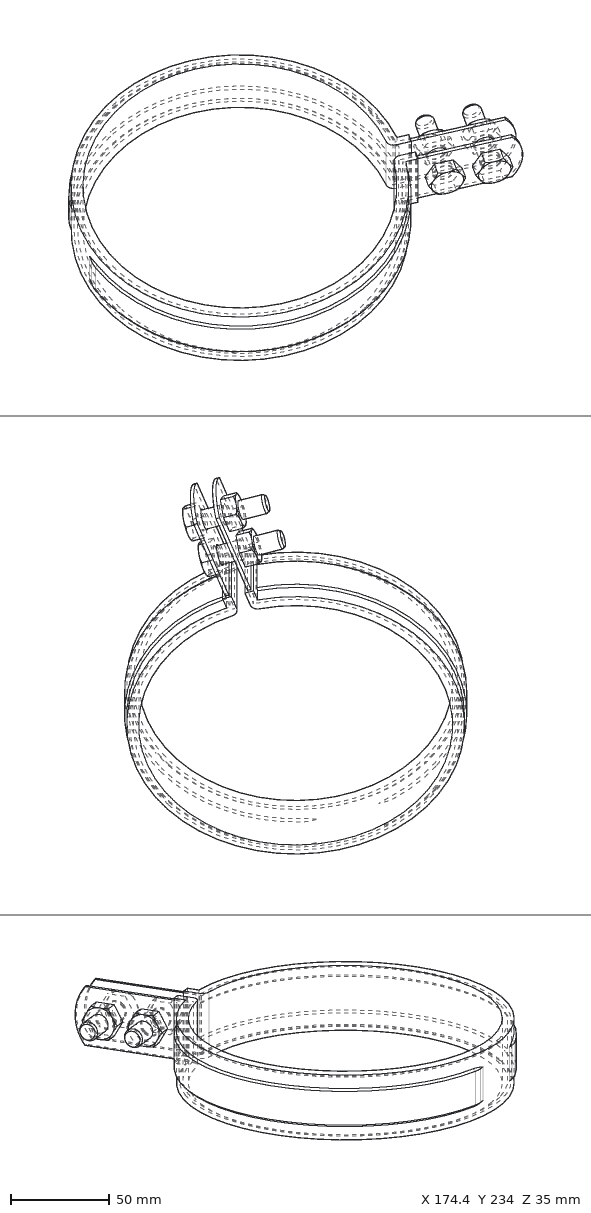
import cadquery as cq
import math


overall_length = 234.0

liner_outer_diameter = 172.0
liner_outer_radius = liner_outer_diameter / 2
liner_thickness = 6.0
liner_inner_radius = liner_outer_radius - liner_thickness
liner_height = 35.0
liner_gap = 7.3
liner_lug_thickness = 4.7
liner_lug_end = 92.0
liner_corner_radius = 4.0

bead_rise = 1.2
bead_chamfer = 1.5
bead_outer_radius = liner_outer_radius + bead_rise
bead_height = 21.0
bead_end_x = 16.5
bead_flat_offset = math.sqrt(liner_outer_radius**2 - bead_end_x**2)
bead_flat_blend_radius = 17.5

strap_thickness = 1.9
strap_height = 31.8
strap_cover = (liner_lug_thickness - strap_thickness) / 2
strap_outer_radius = liner_outer_radius - strap_cover
strap_inner_radius = strap_outer_radius - strap_thickness
strap_gap = liner_gap + 2 * strap_cover
strap_end = overall_length - liner_outer_radius
strap_tip_radius = 25.5
strap_outer_face = strap_gap / 2 + strap_thickness

bead_root_radius = liner_outer_radius - strap_cover / 2

bolt_pitch = 25.0
first_bolt_y = 106.0
bolt_positions = [first_bolt_y, first_bolt_y + bolt_pitch]
bolt_diameter = 10.0
bolt_tip_diameter = 8.5
bolt_tip_length = 1.5
bolt_hole_diameter = 11.0
bolt_tip_x = -28.8
hex_across_flats = 17.0
hex_across_corners = hex_across_flats / math.cos(math.pi / 6)
hex_chamfer_angle = math.radians(30)
nut_thickness = 7.7
head_thickness = 7.0


def disc(radius, height):
    return cq.Workplane("XY", origin=(0, 0, -height / 2)).circle(radius).extrude(height)


def block_from_axis(width, length, height):
    """Block centred on X and Z that runs from the pipe axis towards +Y."""
    return cq.Workplane("XY").box(width, length, height).translate((0, length / 2, 0))


def open_loop(inner_radius, outer_radius, gap, lug_thickness, lug_end, height):
    """Ring opened at +Y, with a straight lug on each side of the gap."""
    lug_outer_width = gap + 2 * lug_thickness
    lugs = block_from_axis(lug_outer_width, lug_end, height)
    gap_slot = block_from_axis(gap, lug_end, height)
    return disc(outer_radius, height).union(lugs).cut(disc(inner_radius, height)).cut(gap_slot)


def make_bead():
    """Chamfered band that fades into the liner at a flat on the -Y side."""
    flat_block = (
        cq.Workplane("XY")
        .box(2 * bead_outer_radius, bead_outer_radius, bead_height)
        .translate((0, -bead_flat_offset - bead_outer_radius / 2, 0))
    )
    opening_width = liner_gap + 2 * liner_lug_thickness
    opening = block_from_axis(opening_width, liner_lug_end, bead_height)
    return (
        disc(bead_outer_radius, bead_height)
        .cut(flat_block)
        .edges("|Z and <Y")
        .fillet(bead_flat_blend_radius)
        .faces("<Z or >Z")
        .chamfer(bead_chamfer)
        .cut(disc(bead_root_radius, bead_height))
        .cut(opening)
    )


def make_strap():
    loop = open_loop(
        strap_inner_radius, strap_outer_radius, strap_gap, strap_thickness, strap_end, strap_height
    )
    tip_center = strap_end - strap_tip_radius
    tip_limit = (
        cq.Workplane("YZ", origin=(-strap_outer_face, tip_center, 0))
        .circle(strap_tip_radius)
        .extrude(2 * strap_outer_face)
    )
    tip_zone = (
        cq.Workplane("XY")
        .box(2 * strap_outer_face, strap_tip_radius, strap_height)
        .translate((0, tip_center + strap_tip_radius / 2, 0))
    )
    bolt_holes = (
        cq.Workplane("YZ", origin=(-strap_outer_face, 0, 0))
        .pushPoints([(y, 0) for y in bolt_positions])
        .circle(bolt_hole_diameter / 2)
        .extrude(2 * strap_outer_face)
    )
    return loop.cut(tip_zone.cut(tip_limit)).cut(bolt_holes)


def make_liner(strap):
    loop = open_loop(
        liner_inner_radius, liner_outer_radius, liner_gap, liner_lug_thickness, liner_lug_end, liner_height
    )
    corner_x = liner_gap / 2
    corner_y = math.sqrt(liner_inner_radius**2 - corner_x**2)
    for side in (-1, 1):
        corner_edge = cq.selectors.NearestToPointSelector((side * corner_x, corner_y, 0))
        loop = loop.edges(corner_edge).fillet(liner_corner_radius)
    return loop.union(make_bead()).cut(strap)


def make_hexagon(inner_x, outer_x):
    """Hexagon along X whose corners are chamfered on the face at outer_x."""
    thickness = abs(outer_x - inner_x)
    corner_radius = hex_across_corners / 2
    flat_radius = hex_across_flats / 2
    chamfer_length = (corner_radius - flat_radius) * math.tan(hex_chamfer_angle)
    prism = cq.Workplane("YZ").polygon(6, hex_across_corners).extrude(thickness)
    chamfer_envelope = (
        cq.Workplane("XY")
        .moveTo(0, 0)
        .lineTo(0, corner_radius)
        .lineTo(thickness - chamfer_length, corner_radius)
        .lineTo(thickness, flat_radius)
        .lineTo(thickness, 0)
        .close()
        .revolve(360, (0, 0, 0), (1, 0, 0))
    )
    hexagon = prism.intersect(chamfer_envelope)
    if outer_x < inner_x:
        hexagon = hexagon.mirror("YZ")
    return hexagon.translate((inner_x, 0, 0))


def make_bolt(y):
    """Bolt along X with its head on the +X side and its nut on the -X side."""
    shank = (
        cq.Workplane("XY")
        .moveTo(bolt_tip_x, 0)
        .lineTo(bolt_tip_x, bolt_tip_diameter / 2)
        .lineTo(bolt_tip_x + bolt_tip_length, bolt_diameter / 2)
        .lineTo(strap_outer_face, bolt_diameter / 2)
        .lineTo(strap_outer_face, 0)
        .close()
        .revolve(360, (0, 0, 0), (1, 0, 0))
    )
    head = make_hexagon(strap_outer_face, strap_outer_face + head_thickness)
    nut = make_hexagon(-strap_outer_face, -strap_outer_face - nut_thickness)
    return shank.union(head).union(nut).translate((0, y, 0))


strap = make_strap()
liner = make_liner(strap)
bolts = [make_bolt(y) for y in bolt_positions]

result = cq.Compound.makeCompound([liner.val(), strap.val(), *[bolt.val() for bolt in bolts]])